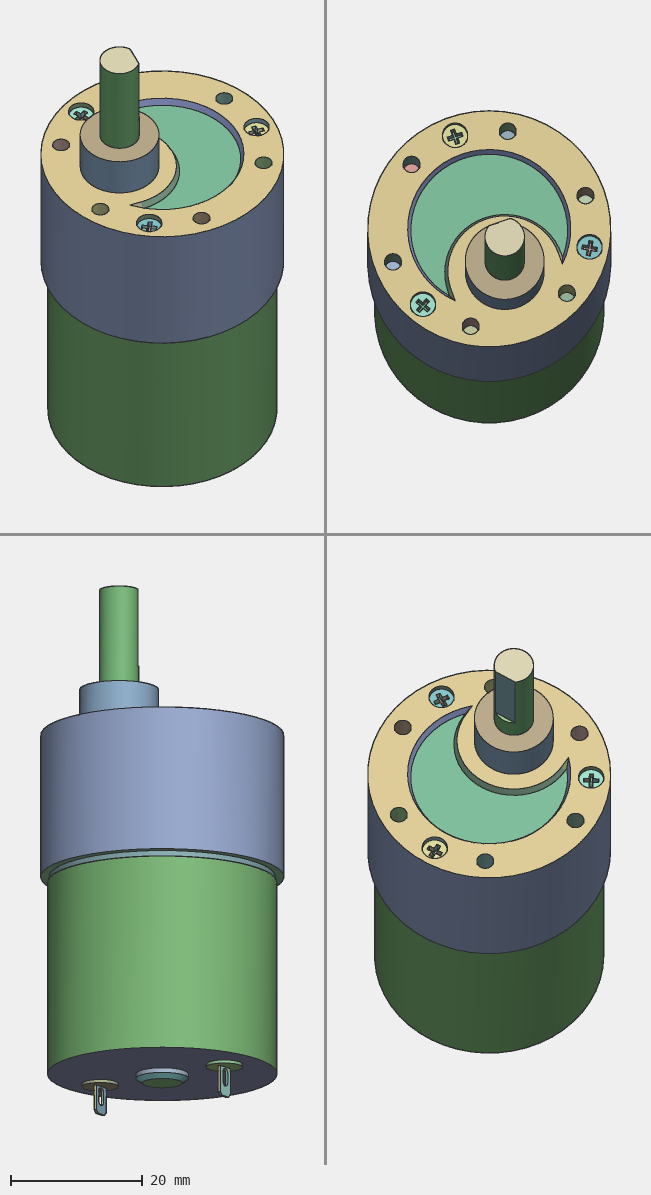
import cadquery as cq
import math


motor_diameter = 34.75
motor_length = 30.7
neck_diameter = 34.3
neck_length = 0.9
gearbox_diameter = 36.8
gearbox_length = 22.1
gearbox_top = motor_length + gearbox_length

shaft_y = -7.0
boss_diameter = 11.95
boss_height = 6.45
shaft_diameter = 6.0
shaft_length = 15.5
shaft_round_length = 3.6
shaft_flat_depth = 0.55
boss_top = gearbox_top + boss_height
shaft_top = boss_top + shaft_length

pocket_depth = 1.0
pocket_top_radius = 12.35
pocket_draft = 0.5
island_top_radius = 8.6

face_circle_radius = 15.5
mount_hole_diameter = 2.55
mount_hole_depth = 4.8
mount_hole_count = 6
screw_diameter = 3.8
screw_recess_depth = 0.9
screw_count = 3
screw_start_angle = 90
cross_length = 2.3
cross_width = 0.6
cross_depth = 0.8
cross_taper = 12

cap_diameter = 8.0
cap_height = 1.4
cap_chamfer_height = 0.7
cap_chamfer_width = 0.95

terminal_x = 9.3
terminal_y = 6.45
pad_diameter = 5.5
pad_thickness = 0.5
blade_width = 2.7
blade_thickness = 0.4
blade_chamfer = 0.5
long_terminal = 5.0
short_terminal = 4.8
eye_width = 1.3
eye_length = 2.7
eye_top_gap = 0.2


def cylinder(diameter, bottom, height, x=0, y=0):
    """Vertical cylinder standing on the given Z level."""
    return cq.Workplane("XY").workplane(offset=bottom).center(x, y).circle(diameter / 2).extrude(height)


def housing():
    """Motor can, recessed neck and gearbox."""
    can_length = motor_length - neck_length
    can = cylinder(motor_diameter, 0, can_length)
    neck = cylinder(neck_diameter, can_length, neck_length)
    gearbox = cylinder(gearbox_diameter, motor_length, gearbox_length)
    return can.union(neck).union(gearbox)


def output_shaft():
    """Shaft whose flat on the +Y side starts above a short round length."""
    flat_bottom = boss_top + shaft_round_length
    flat_y = shaft_y + shaft_diameter / 2 - shaft_flat_depth
    flat_cutter = (
        cq.Workplane("XY")
        .workplane(offset=flat_bottom)
        .center(0, flat_y + shaft_diameter / 2)
        .rect(2 * shaft_diameter, shaft_diameter)
        .extrude(shaft_top - flat_bottom)
    )
    return cylinder(shaft_diameter, boss_top, shaft_length, y=shaft_y).cut(flat_cutter)


def island_outline(plane, radius):
    """Half-round outline around the boss, continued straight towards -Y."""
    end_y = shaft_y - pocket_top_radius
    return (
        plane.moveTo(-radius, end_y)
        .lineTo(-radius, shaft_y)
        .threePointArc((0, shaft_y + radius), (radius, shaft_y))
        .lineTo(radius, end_y)
        .close()
    )


def crescent_pocket():
    """Drafted round pocket less the drafted island that surrounds the boss."""
    floor = gearbox_top - pocket_depth
    bowl = (
        cq.Workplane("XY")
        .workplane(offset=floor)
        .circle(pocket_top_radius - pocket_draft)
        .workplane(offset=pocket_depth)
        .circle(pocket_top_radius)
        .loft()
    )
    island = island_outline(cq.Workplane("XY").workplane(offset=floor), island_top_radius + pocket_draft)
    island = island_outline(island.workplane(offset=pocket_depth), island_top_radius).loft(ruled=True)
    return bowl.cut(island)


def mount_holes():
    """Ring of blind holes in the gearbox face."""
    return (
        cq.Workplane("XY")
        .workplane(offset=gearbox_top)
        .polarArray(face_circle_radius, 0, 360, mount_hole_count)
        .circle(mount_hole_diameter / 2)
        .extrude(-mount_hole_depth)
    )


def screw_recesses():
    """Sunken screw heads, each with a tapered cross recess turned with its position."""
    head_level = gearbox_top - screw_recess_depth
    spots = cq.Workplane("XY").workplane(offset=gearbox_top)
    spots = spots.polarArray(face_circle_radius, screw_start_angle, 360, screw_count)
    recesses = spots.circle(screw_diameter / 2).extrude(-screw_recess_depth)
    for length, width in ((cross_length, cross_width), (cross_width, cross_length)):
        slots = (
            cq.Workplane("XY")
            .workplane(offset=head_level)
            .polarArray(face_circle_radius, screw_start_angle, 360, screw_count)
            .rect(length, width)
            .extrude(-cross_depth, taper=cross_taper)
        )
        recesses = recesses.union(slots)
    return recesses


def bearing_cap():
    """Round cap below the motor, narrowing to its end as a shallow cone."""
    cone_top = cap_chamfer_height - cap_height
    cone = (
        cq.Workplane("XY")
        .workplane(offset=-cap_height)
        .circle(cap_diameter / 2 - cap_chamfer_width)
        .workplane(offset=cap_chamfer_height)
        .circle(cap_diameter / 2)
        .loft()
    )
    return cylinder(cap_diameter, cone_top, -cone_top).union(cone)


def terminal(side, length):
    """Terminal on the +X+Y side (side = 1) or the -X-Y side (side = -1)."""
    radius = math.hypot(terminal_x, terminal_y)
    angle = math.degrees(math.atan2(side * terminal_y, side * terminal_x))
    pad = cylinder(pad_diameter, -pad_thickness, pad_thickness, x=radius)
    blade = (
        cq.Workplane("XY")
        .box(blade_thickness, blade_width, length, centered=(True, True, False))
        .translate((radius, 0, -length))
        .faces("<Z")
        .edges("|X")
        .chamfer(blade_chamfer)
    )
    eye_z = -pad_thickness - eye_top_gap - eye_length / 2
    eye = (
        cq.Workplane("YZ")
        .workplane(offset=radius)
        .center(0, eye_z)
        .slot2D(eye_length, eye_width, 90)
        .extrude(blade_thickness, both=True)
    )
    return pad.union(blade.cut(eye)).rotate((0, 0, 0), (0, 0, 1), angle)


result = (
    housing()
    .cut(crescent_pocket())
    .cut(mount_holes())
    .cut(screw_recesses())
    .union(cylinder(boss_diameter, gearbox_top, boss_height, y=shaft_y))
    .union(output_shaft())
    .union(bearing_cap())
    .union(terminal(1, long_terminal))
    .union(terminal(-1, short_terminal))
)